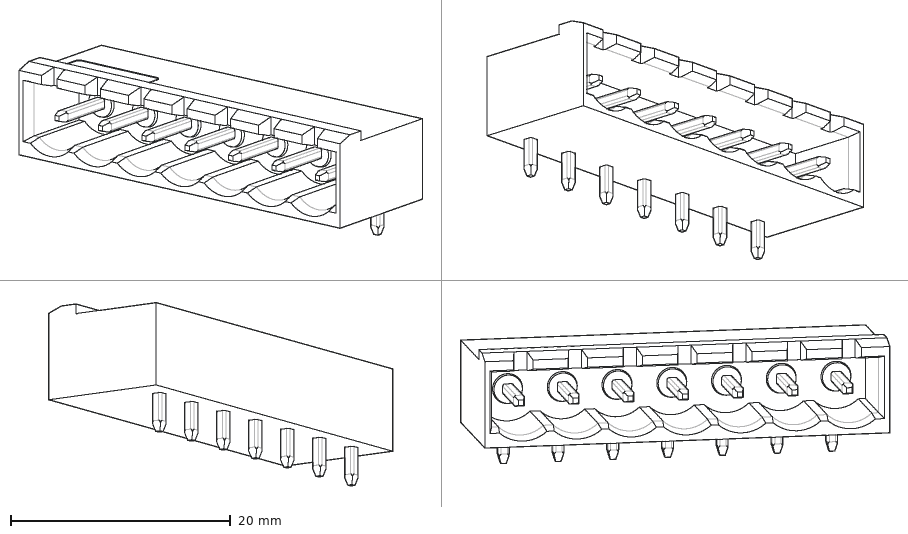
import cadquery as cq
import math


WIDTH = 37.55
DEPTH = 12.0
BODY_HEIGHT = 7.65
RAIL_HEIGHT = 8.55
RAIL_DEPTH = 3.05
RAIL_SLOPE_DEPTH = 1.43
RAIL_SLOPE_DROP = 0.53

LABEL_LENGTH = 9.6
LABEL_WIDTH = 3.6
LABEL_SIDE_MARGIN = 1.25
LABEL_RAIL_GAP = 0.45
LABEL_CORNER_RADIUS = 0.45
LABEL_DEPTH = 0.08

POLES = 7
CONTACT_SPAN = 30.45
PITCH = CONTACT_SPAN / (POLES - 1)
CONTACT_HEIGHT = 3.85
CONTACT_X = [(i - (POLES - 1) / 2) * PITCH for i in range(POLES)]

SIDE_WALL = 0.83
CEILING_HEIGHT = 6.85
FLOOR_HEIGHT = 1.7
TROUGH_RADIUS = 3.0
LEAD_IN = 0.35
LEAD_IN_DEPTH = 1.13

NOTCH_DEPTH = RAIL_SLOPE_DEPTH
NOTCH_FRONT_WIDTH = 1.8
NOTCH_BACK_WIDTH = 1.2

BOSS_RADIUS = 1.4
BOSS_TOP_RADIUS = 1.3
BOSS_HEIGHT = 0.3

PIN_WIDTH = 1.0
PIN_EDGE_RADIUS = 0.23
PIN_TIP_WIDTH = 0.5
PIN_TIP_LENGTH = 0.95
ARM_TIP_DEPTH = 1.13
LEG_TO_BACK = 2.15
LEG_LENGTH = 3.5

LEG_Y = DEPTH - LEG_TO_BACK
SOCKET_DEPTH = DEPTH - 2 * LEG_TO_BACK


def socket_outline(y, growth):
    """Socket section at depth y, every side moved outward by growth."""
    half_width = WIDTH / 2 - SIDE_WALL + growth
    ceiling = CEILING_HEIGHT + growth
    floor = FLOOR_HEIGHT - growth
    radius = TROUGH_RADIUS + growth
    half_trough = math.sqrt(radius**2 - (CONTACT_HEIGHT - floor) ** 2)
    outline = cq.Workplane("XZ", origin=(0, y, 0)).moveTo(-half_width, ceiling)
    outline = outline.lineTo(-half_width, floor)
    for x in CONTACT_X:
        outline = outline.lineTo(x - half_trough, floor).threePointArc(
            (x, CONTACT_HEIGHT - radius), (x + half_trough, floor)
        )
    return outline.lineTo(half_width, floor).lineTo(half_width, ceiling).close()


def make_socket():
    """Cavity of the socket, flared at the mouth."""
    cavity = socket_outline(0, 0).extrude(-SOCKET_DEPTH)
    mouth_wire = socket_outline(0, LEAD_IN).wire().val()
    inner_wire = socket_outline(LEAD_IN_DEPTH, 0).wire().val()
    flare = cq.Solid.makeLoft([mouth_wire, inner_wire], True)
    return cavity.union(cq.Workplane(flare))


def make_notch(x):
    """Keying notch, narrowing toward its back face."""
    height = RAIL_HEIGHT - CONTACT_HEIGHT
    return (
        cq.Workplane("XY", origin=(x, 0, CONTACT_HEIGHT))
        .moveTo(-NOTCH_FRONT_WIDTH / 2, 0)
        .lineTo(NOTCH_FRONT_WIDTH / 2, 0)
        .lineTo(NOTCH_BACK_WIDTH / 2, NOTCH_DEPTH)
        .lineTo(-NOTCH_BACK_WIDTH / 2, NOTCH_DEPTH)
        .close()
        .extrude(height)
    )


def make_boss(x):
    """Tapered round boss on the socket back wall."""
    return cq.Workplane(
        cq.Solid.makeCone(
            BOSS_RADIUS,
            BOSS_TOP_RADIUS,
            BOSS_HEIGHT,
            pnt=cq.Vector(x, SOCKET_DEPTH, CONTACT_HEIGHT),
            dir=cq.Vector(0, -1, 0),
        )
    )


def make_label_recess():
    """Rounded rectangular recess near the left end of the top face, behind the rail."""
    center_x = -WIDTH / 2 + LABEL_SIDE_MARGIN + LABEL_LENGTH / 2
    center_y = RAIL_DEPTH + LABEL_RAIL_GAP + LABEL_WIDTH / 2
    recess = cq.Workplane("XY", origin=(center_x, center_y, BODY_HEIGHT - LABEL_DEPTH))
    recess = recess.rect(LABEL_LENGTH, LABEL_WIDTH).extrude(LABEL_DEPTH)
    return recess.edges("|Z").fillet(LABEL_CORNER_RADIUS)


def make_bar(length):
    """Upright square bar with rounded long edges and a tapered lower end at Z = 0."""
    bar = cq.Workplane("XY").rect(PIN_WIDTH, PIN_WIDTH).extrude(length)
    bar = bar.edges("|Z").fillet(PIN_EDGE_RADIUS)
    taper = (
        cq.Workplane("XY")
        .rect(PIN_TIP_WIDTH, PIN_TIP_WIDTH)
        .workplane(offset=PIN_TIP_LENGTH)
        .rect(PIN_WIDTH, PIN_WIDTH)
        .loft()
    )
    shank = (
        cq.Workplane("XY", origin=(0, 0, PIN_TIP_LENGTH))
        .rect(PIN_WIDTH, PIN_WIDTH)
        .extrude(length - PIN_TIP_LENGTH)
    )
    return bar.intersect(taper.union(shank))


def make_pin(x):
    """Right-angled contact pin: a leg pointing down and an arm pointing forward."""
    leg_length = LEG_LENGTH + CONTACT_HEIGHT + PIN_WIDTH / 2
    arm_length = LEG_Y + PIN_WIDTH / 2 - ARM_TIP_DEPTH
    leg = make_bar(leg_length).translate((x, LEG_Y, -LEG_LENGTH))
    arm = make_bar(arm_length).rotate((0, 0, 0), (1, 0, 0), -90)
    arm = arm.translate((x, ARM_TIP_DEPTH, CONTACT_HEIGHT))
    return leg.union(arm)


def make_housing(pins):
    """Housing with its latch rail, label recess, socket, notches, bosses and pin passages."""
    body = (
        cq.Workplane("YZ", origin=(-WIDTH / 2, 0, 0))
        .lineTo(DEPTH, 0)
        .lineTo(DEPTH, BODY_HEIGHT)
        .lineTo(RAIL_DEPTH, BODY_HEIGHT)
        .lineTo(RAIL_DEPTH, RAIL_HEIGHT)
        .lineTo(RAIL_SLOPE_DEPTH, RAIL_HEIGHT)
        .lineTo(0, RAIL_HEIGHT - RAIL_SLOPE_DROP)
        .close()
        .extrude(WIDTH)
    )
    body = body.cut(make_label_recess()).cut(make_socket())
    for x in CONTACT_X:
        body = body.cut(make_notch(x)).union(make_boss(x))
    for pin in pins:
        body = body.cut(pin)
    return body


pins = [make_pin(x) for x in CONTACT_X]
housing = make_housing(pins)

result = cq.Compound.makeCompound([housing.val(), *[pin.val() for pin in pins]])